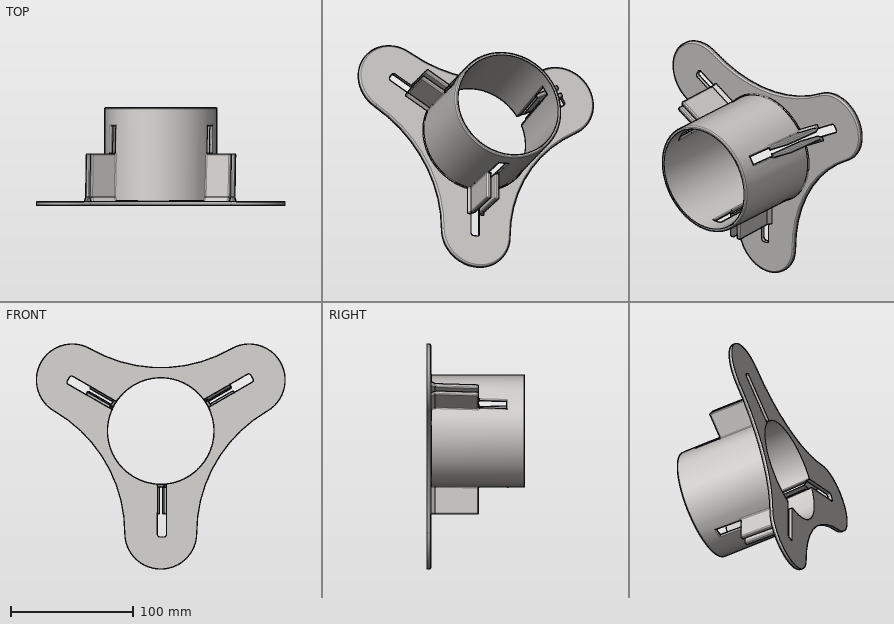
import cadquery as cq
import math

arm_count = 3
arm_pitch = 360 / arm_count
tip_distance = 83.5
tip_radius = 29.5
plate_thickness = 3.2
plate_back_round = 1.3

tube_length = 80.0
tube_outer_radius = 46.0
tube_bore_radius = 43.5
tube_end_round = 1.0
root_round = 0.8

plate_slot_width = 7.4
plate_slot_end = 86.6
plate_slot_corner_round = 2.0
tube_slot_width = 7.0
tube_slot_length = 65.0
tube_slot_round = 1.0

fin_gap = 3.5
fin_thickness = 3.5
fin_depth = 42.2
fin_outer_radius = 68.0
fin_round = 1.0
flare_width = 2.0
flare_height = 3.6
flare_top = plate_thickness + flare_height
fin_root_depth = plate_thickness / 2
bore_overlap = 5.0
inner_reach = tube_bore_radius - bore_overlap

lean_offset = 1.0
lean_angle = 2.0

edge_margin = 0.1


def lean_x(y):
    """Sideways position of the slot and fin centre plane at depth y."""
    return lean_offset - y * math.tan(math.radians(lean_angle))


def each_arm(shape):
    """Copies of a shape built on the -Z arm, one turned to every arm."""
    return [
        shape.rotate((0, 0, 0), (0, 1, 0), arm * arm_pitch) for arm in range(arm_count)
    ]


def polar(distance, angle):
    """Point (x, z) at a distance from the axis, angle in degrees from +X."""
    return (
        distance * math.cos(math.radians(angle)),
        distance * math.sin(math.radians(angle)),
    )


def cylinder_back(radius, length):
    """Cylinder along the axis from the plate front to the given depth."""
    return cq.Workplane("XZ").circle(radius).extrude(-length)


def make_plate():
    """Plate with rounded arm tips joined by concave arcs."""
    half_pitch = arm_pitch / 2
    side_centre_distance = tip_distance / math.cos(math.radians(half_pitch))
    side_radius = tip_distance * math.tan(math.radians(half_pitch)) - tip_radius
    waist_distance = side_centre_distance - side_radius
    widest_distance = math.hypot(tip_distance, tip_radius)
    widest_angle = math.degrees(math.atan2(tip_radius, tip_distance))

    first_arm = -90
    outline = cq.Workplane("XZ").moveTo(*polar(widest_distance, first_arm - widest_angle))
    for arm in range(arm_count):
        angle = first_arm + arm * arm_pitch
        outline = outline.threePointArc(
            polar(tip_distance + tip_radius, angle),
            polar(widest_distance, angle + widest_angle),
        )
        outline = outline.threePointArc(
            polar(waist_distance, angle + half_pitch),
            polar(widest_distance, angle + arm_pitch - widest_angle),
        )
    plate = outline.close().extrude(-plate_thickness)
    return plate.faces(">Y").edges().fillet(plate_back_round)


def make_tube():
    tube = cylinder_back(tube_outer_radius, tube_length)
    return tube.faces(">Y").edges().fillet(tube_end_round)


def make_bore():
    return cylinder_back(tube_bore_radius, tube_length)


def leaning_prism(section, outer_radius):
    """Extrude a section, drawn about the upright centre plane, inward along the -Z arm."""
    return (
        cq.Workplane("XY", origin=(0, 0, -outer_radius))
        .polyline([(x + lean_x(y), y) for x, y in section])
        .close()
        .extrude(outer_radius - inner_reach)
    )


def inner_face_points():
    """Section points (x, y) of the fin face next to the slot, from the back edge to the plate."""
    return [
        (fin_gap / 2, fin_depth),
        (fin_gap / 2, flare_top),
        (fin_gap / 2 + flare_width, plate_thickness),
    ]


def make_fin(side):
    """Flared, leaning fin on one side (-1 or +1) of the slot of the -Z arm."""
    inner_face = inner_face_points()
    root_x = inner_face[-1][0]
    inner_face.append((root_x, fin_root_depth))
    outer_face = [(x + fin_thickness, y) for x, y in reversed(inner_face)]
    section = [(side * x, y) for x, y in inner_face + outer_face]
    fin = leaning_prism(section, fin_outer_radius)
    back_and_tip = fin.faces(">Y").edges("|Z").add(fin.faces("<Z").edges("not <Y"))
    return fin.newObject(back_and_tip.vals()).fillet(fin_round)


class TubeSurfaceEdges(cq.Selector):
    """Edges lying on a tube surface of given radius, within a range of depth."""

    def __init__(self, radius, y_min, y_max):
        self.radius = radius
        self.y_min = y_min
        self.y_max = y_max

    def filter(self, edges):
        return [edge for edge in edges if self.accepts(edge)]

    def accepts(self, edge):
        points = [edge.positionAt(t) for t in (0, 0.25, 0.5)]
        on_surface = all(
            abs(math.hypot(p.x, p.z) - self.radius) < edge_margin for p in points
        )
        return on_surface and self.y_min < edge.positionAt(0.5).y < self.y_max


def make_plate_slot():
    return (
        cq.Workplane("XZ", origin=(lean_x(0), 0, -plate_slot_end / 2))
        .rect(plate_slot_width, plate_slot_end)
        .extrude(-plate_thickness)
        .edges("|Y and <Z")
        .fillet(plate_slot_corner_round)
    )


def make_tube_slot():
    half = tube_slot_width / 2
    section = [
        (-half, 0),
        (-half, tube_slot_length),
        (half, tube_slot_length),
        (half, 0),
    ]
    return leaning_prism(section, tube_outer_radius)


def make_channel():
    """Clear space between the two fins of the -Z arm, open to the bore."""
    face = inner_face_points()
    section = face + [(-x, y) for x, y in reversed(face)]
    return leaning_prism(section, fin_outer_radius)


def make_slot_rounding():
    """Cutter rounding the -Z tube slot: its bore rim, and its outer rim behind the fins."""
    tube_wall = make_tube().cut(make_bore())
    slotted_wall = tube_wall.cut(make_tube_slot())
    for radius in (tube_bore_radius, tube_outer_radius):
        rim = TubeSurfaceEdges(radius, edge_margin, tube_slot_length + edge_margin)
        slotted_wall = slotted_wall.edges(rim).fillet(tube_slot_round)
    mid_wall_radius = (tube_bore_radius + tube_outer_radius) / 2
    fin_zone_depth = fin_depth + root_round
    fin_zone = cylinder_back(tube_outer_radius, fin_zone_depth).cut(
        cylinder_back(mid_wall_radius, fin_zone_depth)
    )
    return tube_wall.cut(slotted_wall).cut(fin_zone)


def make_body():
    """Plate, tube and fins, solid, with rounded roots."""
    body = make_plate().union(make_tube())
    for side in (-1, 1):
        for fin in each_arm(make_fin(side)):
            body = body.union(fin)
    roots = TubeSurfaceEdges(
        tube_outer_radius, plate_thickness - edge_margin, fin_depth + edge_margin
    )
    return body.edges(roots).fillet(root_round)


result = make_body()
for opening in (make_channel(), make_tube_slot(), make_slot_rounding(), make_plate_slot()):
    for cutter in each_arm(opening):
        result = result.cut(cutter)
result = result.cut(make_bore())